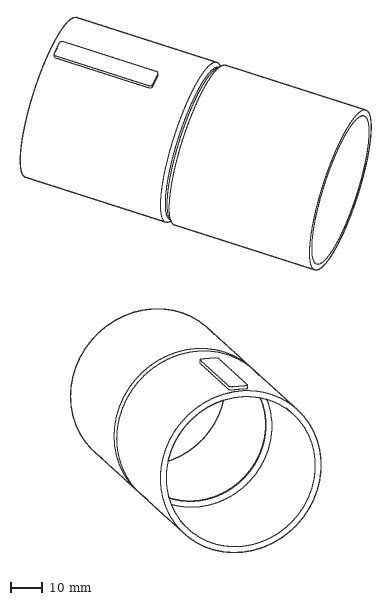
import cadquery as cq

length = 100.0
outer_radius = 54.0 / 2
bore_radius = 50.0 / 2

groove_floor_radius = 51.6 / 2
groove_width = 3.0
groove_depth = outer_radius - groove_floor_radius
groove_floor_width = groove_width - 2 * groove_depth

stop_radius = 47.0 / 2
stop_height = bore_radius - stop_radius
stop_crest_width = groove_floor_width
stop_base_width = stop_crest_width + 2 * stop_height

plate_length = 34.0
plate_width = 6.2
plate_corner_radius = 1.0
plate_rise = 1.0
plate_end_gap = 2.0
plate_embed = 1.0


def sleeve():
    """Revolved wall: plain bore with a stop ridge at mid-length, grooved outside."""
    half_length = length / 2
    profile = (
        cq.Workplane("XY")
        .moveTo(-half_length, bore_radius)
        .lineTo(-half_length, outer_radius)
        .lineTo(-groove_width / 2, outer_radius)
        .lineTo(-groove_floor_width / 2, groove_floor_radius)
        .lineTo(groove_floor_width / 2, groove_floor_radius)
        .lineTo(groove_width / 2, outer_radius)
        .lineTo(half_length, outer_radius)
        .lineTo(half_length, bore_radius)
        .lineTo(stop_base_width / 2, bore_radius)
        .lineTo(stop_crest_width / 2, stop_radius)
        .lineTo(-stop_crest_width / 2, stop_radius)
        .lineTo(-stop_base_width / 2, bore_radius)
        .close()
    )
    return profile.revolve(360, (0, 0, 0), (1, 0, 0))


def label_plate():
    """Flat-topped plate with rounded corners, sunk into the wall so that it joins fully."""
    plate_centre_x = -length / 2 + plate_end_gap + plate_length / 2
    return (
        cq.Workplane("XY", origin=(plate_centre_x, 0, outer_radius - plate_embed))
        .rect(plate_length, plate_width)
        .extrude(plate_embed + plate_rise)
        .edges("|Z")
        .fillet(plate_corner_radius)
    )


result = sleeve().union(label_plate())